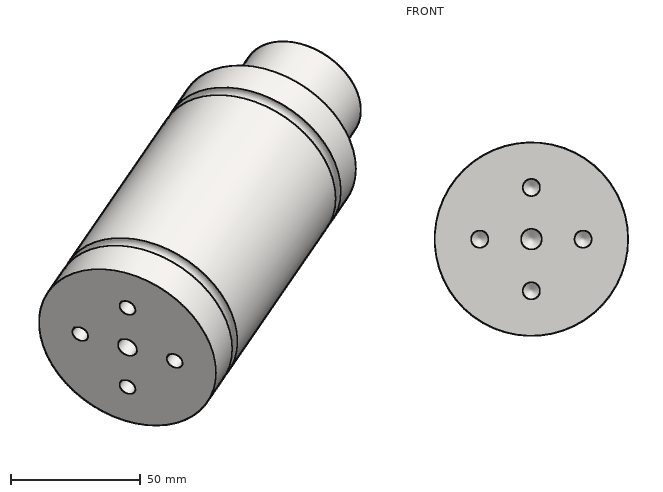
import cadquery as cq
import math

body_diameter = 75.0
body_length = 134.0
rod_diameter = 50.0
overall_length = 167.0

groove_radius = 2.5
front_groove_offset = 18.0
rear_groove_offset = 17.0

bolt_hole_diameter = 6.65
bolt_circle_diameter = 40.0
bolt_hole_count = 4
bolt_hole_depth = 13.0
center_hole_diameter = 8.0
center_hole_depth = 13.0
drill_point_angle = 118.0

body_radius = body_diameter / 2
groove_positions = (front_groove_offset, body_length - rear_groove_offset)


def cylinder_along_y(diameter, length):
    """Cylinder centred on the Y axis, from Y = 0 to Y = length."""
    return cq.Workplane("XZ").circle(diameter / 2).extrude(-length)


def groove_ring(y):
    """Torus that cuts a half-round groove into the body at the given Y."""
    section = cq.Workplane("XY").center(body_radius, y).circle(groove_radius)
    return section.revolve(360, (-body_radius, 0, 0), (-body_radius, 1, 0))


def drilled_hole(x, z, diameter, depth):
    """Hole with straight sides to the given depth, ending in a conical drill point."""
    radius = diameter / 2
    point_length = radius / math.tan(math.radians(drill_point_angle / 2))
    half_section = (
        cq.Workplane("XY")
        .moveTo(0, 0)
        .lineTo(radius, 0)
        .lineTo(radius, depth)
        .lineTo(0, depth + point_length)
        .close()
    )
    return half_section.revolve(360, (0, 0, 0), (0, 1, 0)).translate((x, 0, z))


result = cylinder_along_y(body_diameter, body_length)
result = result.union(cylinder_along_y(rod_diameter, overall_length))

for groove_y in groove_positions:
    result = result.cut(groove_ring(groove_y))

result = result.cut(drilled_hole(0, 0, center_hole_diameter, center_hole_depth))
for index in range(bolt_hole_count):
    angle = 2 * math.pi * index / bolt_hole_count
    hole_x = bolt_circle_diameter / 2 * math.cos(angle)
    hole_z = bolt_circle_diameter / 2 * math.sin(angle)
    result = result.cut(drilled_hole(hole_x, hole_z, bolt_hole_diameter, bolt_hole_depth))